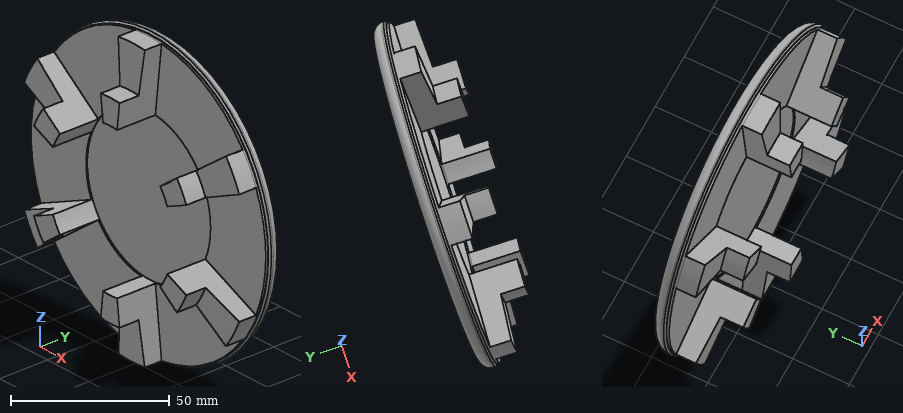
import cadquery as cq
import math

outer_radius = 57.5
rim_round = 3.7
rim_height = 5.1
lower_chamfer = 0.7
lip_radius = 56.6
disc_height = 6.0

recess_radius = 30.0
recess_depth = 0.6

leg_count = 6
leg_angle = 13.0
foot_radius = 40.0
leg_outer_height = 7.0
leg_step_height = 7.9
total_height = 22.0
first_leg_angle = 30.0


def revolve_profile(profile, angle=360.0):
    """Revolve a profile of (radius, Y) points about the Y axis."""
    return profile.close().revolve(angle, (0, 0, 0), (0, 1, 0))


def make_disc():
    corner = rim_round * math.sqrt(0.5)
    profile = (
        cq.Workplane("XY")
        .lineTo(outer_radius - rim_round, 0)
        .threePointArc(
            (outer_radius - rim_round + corner, -rim_round + corner),
            (outer_radius, -rim_round),
        )
        .lineTo(outer_radius, lower_chamfer - rim_height)
        .lineTo(outer_radius - lower_chamfer, -rim_height)
        .lineTo(lip_radius, -rim_height)
        .lineTo(lip_radius, -disc_height)
        .lineTo(recess_radius, -disc_height)
        .lineTo(recess_radius, recess_depth - disc_height)
        .lineTo(0, recess_depth - disc_height)
    )
    return revolve_profile(profile)


def make_leg():
    """One leg centred on the +X direction, standing on the leg side of the disc."""
    profile = cq.Workplane("XY").polyline([
        (recess_radius, -disc_height),
        (lip_radius, -disc_height),
        (lip_radius, -disc_height - leg_outer_height),
        (foot_radius, -disc_height - leg_step_height),
        (foot_radius, -total_height),
        (recess_radius, -total_height),
    ])
    wedge = revolve_profile(profile, leg_angle)
    return wedge.rotate((0, 0, 0), (0, 1, 0), -leg_angle / 2)


result = make_disc()
leg = make_leg()
for index in range(leg_count):
    turn = first_leg_angle + index * 360.0 / leg_count
    result = result.union(leg.rotate((0, 0, 0), (0, 1, 0), turn))